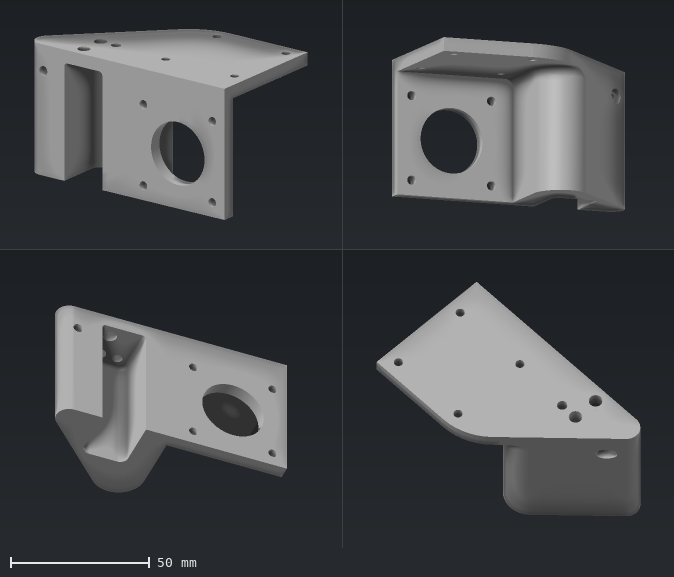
import cadquery as cq
import math

length = 87.9
depth = 50.0
height = 50.0
wall = 5.0
underside = height - wall

tip_radius = 5.0
shoulder_radius = 25.0
slant_angle = math.radians(45)
slant_rise = tip_radius * math.sqrt(2)

post_depth = 36.0
post_radius = 10.0
post_fillet = 3.0

slot_start = 15.9
slot_end = 33.0
slot_depth = 20.0
slot_corner_radius = 3.0
slot_roof_fillet = 1.4

pattern_pitch = 30.95
pattern_hole = 3.3
pattern_x = 66.9
face_pattern_z = 21.0
top_pattern_y = 29.0
bore = 24.0

pin_hole = 4.9
pin_x = 21.0
pin_front_y = 5.0
pin_back_y = 15.0
small_hole = 3.8
small_hole_x = 28.0

screw_x = 6.5
screw_z = 40.0
screw_hole = 3.6
screw_head = 5.6
screw_floor_y = 8.0


def on_circle(center, radius, angle):
    """Point on a circle, with the angle measured counterclockwise from +X."""
    return (center[0] + radius * math.cos(angle), center[1] + radius * math.sin(angle))


def round_on_slant(back_y, radius):
    """Centre of a round tangent to both the slanted side and the line y = back_y."""
    center_y = back_y - radius
    return (center_y - slant_rise + radius * math.sqrt(2), center_y)


def make_blank():
    """Full-height solid with the plan outline."""
    tip = (tip_radius, tip_radius)
    shoulder = round_on_slant(depth, shoulder_radius)
    slant_normal = math.pi - slant_angle
    return (
        cq.Workplane("XY")
        .moveTo(tip_radius, 0)
        .lineTo(length, 0)
        .lineTo(length, depth)
        .lineTo(shoulder[0], depth)
        .threePointArc(
            on_circle(shoulder, shoulder_radius, math.pi / 2 + slant_angle / 2),
            on_circle(shoulder, shoulder_radius, slant_normal),
        )
        .lineTo(*on_circle(tip, tip_radius, slant_normal))
        .threePointArc(on_circle(tip, tip_radius, math.pi - slant_angle / 2), (0, tip_radius))
        .threePointArc(on_circle(tip, tip_radius, math.pi + slant_angle), (tip_radius, 0))
        .close()
        .extrude(height)
    )


def make_rear_pocket():
    """Space behind the face plate and around the post, open at the back, the +X end and below."""
    center = round_on_slant(post_depth, post_radius)
    post_end = center[0] + post_radius
    slant_tangent = on_circle(center, post_radius, math.pi - slant_angle)
    margin = 2 * post_radius
    pocket = (
        cq.Workplane("XY")
        .moveTo(length + margin, wall)
        .lineTo(post_end, wall)
        .lineTo(post_end, center[1])
        .threePointArc(on_circle(center, post_radius, math.pi / 2), slant_tangent)
        .lineTo(slant_tangent[0] - margin, slant_tangent[1] - margin)
        .lineTo(slant_tangent[0] - margin, depth + margin)
        .lineTo(length + margin, depth + margin)
        .close()
        .extrude(underside)
    )
    roof_edge_by_post = cq.selectors.BoxSelector(
        (post_end - 2 * post_radius, wall + 0.9, underside - 0.9),
        (post_end + 0.9, post_depth + 0.9, underside + 0.9),
    )
    return pocket.edges(roof_edge_by_post).fillet(post_fillet)


def make_slot():
    """Slot with rounded rear corners and a rounded roof edge, square where it opens."""
    slot = cq.Workplane("XY").box(slot_end - slot_start, slot_depth, underside, centered=False)
    slot = slot.edges("|Z and >Y").fillet(slot_corner_radius)
    slot = slot.faces(">Z").edges("not <Y").fillet(slot_roof_fillet)
    return slot.translate((slot_start, 0, 0))


def hole_along_y(x, z, diameter, start_y, end_y):
    return cq.Workplane("XZ", origin=(x, start_y, z)).circle(diameter / 2).extrude(start_y - end_y)


def hole_in_top(x, y, diameter):
    return cq.Workplane("XY", origin=(x, y, underside)).circle(diameter / 2).extrude(wall)


result = make_blank().cut(make_rear_pocket()).cut(make_slot())

half_pitch = pattern_pitch / 2
for dx in (-half_pitch, half_pitch):
    for offset in (-half_pitch, half_pitch):
        result = result.cut(hole_along_y(pattern_x + dx, face_pattern_z + offset, pattern_hole, 0, wall))
        result = result.cut(hole_in_top(pattern_x + dx, top_pattern_y + offset, pattern_hole))
result = result.cut(hole_along_y(pattern_x, face_pattern_z, bore, 0, wall))

for x, y, diameter in (
    (pin_x, pin_front_y, pin_hole),
    (pin_x, pin_back_y, pin_hole),
    (small_hole_x, pin_back_y, small_hole),
):
    result = result.cut(hole_in_top(x, y, diameter))

result = result.cut(hole_along_y(screw_x, screw_z, screw_hole, 0, depth))
result = result.cut(hole_along_y(screw_x, screw_z, screw_head, screw_floor_y, depth))